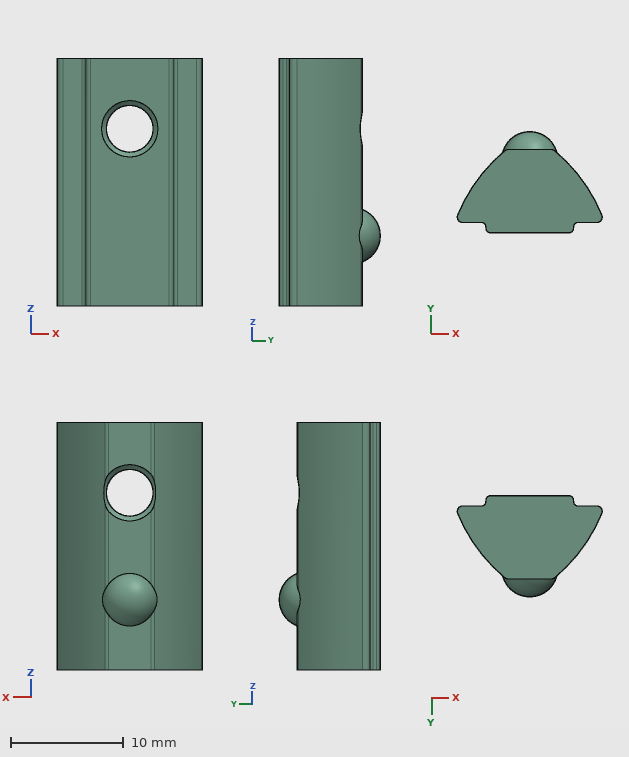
import cadquery as cq
import math

length = 22.0
body_height = 7.4
top_half_width = 2.08
top_corner_radius = 0.5

flank_radius = 14.5
wing_half_width = 6.67
wing_tip_radius = 0.5
wing_base = 0.9

foot_half_width = 3.84
foot_wall_angle = 8.0
foot_corner_radius = 0.4
foot_root_radius = 0.3

feature_offset = 4.75
hole_diameter = 4.13
countersink_diameter = 5.0
ball_radius = 2.5
overall_height = 9.0


def make_body():
    """Extrude the symmetric nut profile along Z and round its long edges."""
    root_half_width = foot_half_width + wing_base * math.tan(math.radians(foot_wall_angle))
    profile = (
        cq.Workplane("XY")
        .moveTo(-foot_half_width, 0)
        .lineTo(foot_half_width, 0)
        .lineTo(root_half_width, wing_base)
        .lineTo(wing_half_width, wing_base)
        .radiusArc((top_half_width, body_height), -flank_radius)
        .lineTo(-top_half_width, body_height)
        .radiusArc((-wing_half_width, wing_base), -flank_radius)
        .lineTo(-root_half_width, wing_base)
        .close()
    )
    body = profile.extrude(length / 2, both=True)
    corner_rounds = [
        (foot_half_width, 0, foot_corner_radius),
        (root_half_width, wing_base, foot_root_radius),
        (wing_half_width, wing_base, wing_tip_radius),
        (top_half_width, body_height, top_corner_radius),
    ]
    for x, y, radius in corner_rounds:
        for side in (-1, 1):
            edge = cq.selectors.NearestToPointSelector((side * x, y, 0))
            body = body.edges("|Z").edges(edge).fillet(radius)
    return body


def make_screw_hole():
    """Through hole along Y with a 45 degree countersink at each end."""
    hole_radius = hole_diameter / 2
    countersink_radius = countersink_diameter / 2
    depth = countersink_radius - hole_radius
    return (
        cq.Workplane("XY")
        .polyline([
            (0, 0),
            (countersink_radius, 0),
            (hole_radius, depth),
            (hole_radius, body_height - depth),
            (countersink_radius, body_height),
            (0, body_height),
        ])
        .close()
        .revolve(360, (0, 0), (0, 1))
        .translate((0, 0, feature_offset))
    )


def make_ball():
    """Ball that is partly sunk into the flat top."""
    center_height = overall_height - ball_radius
    return cq.Workplane("XY").sphere(ball_radius).translate((0, center_height, -feature_offset))


result = make_body().cut(make_screw_hole()).union(make_ball())